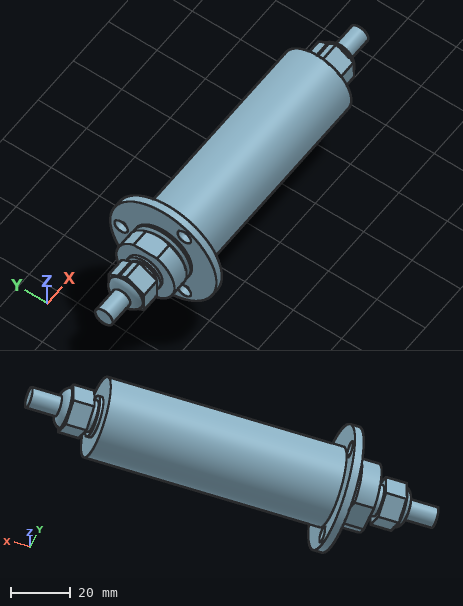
import cadquery as cq
import math

total_length = 145.1
flange_start = 33.7
flange_thickness = 3.2
body_end = 121.1

body_radius = 14.1
flange_radius = 21.98
bolt_circle_radius = 17.4
bolt_hole_diameter = 5.5
bolt_hole_count = 3

cap_start = 23.5
cap_radius = 12.0
cap_land_end = 30.5
cap_across_flats = 22.0
groove_bottom = 31.5
groove_radius = 10.7
shoulder_start = 32.8
shoulder_radius = 11.9

cable_radius = 3.6
collar_length = 1.2
collar_radius = 7.1
neck_length = 2.2
neck_radius = 5.5
nut_length = 7.4
nut_across_flats = 14.7
face_tilt = 30
mark_width = 0.51
mark_depth = 0.1
mark_offset = 0.5
dome_rim_length = 0.5
dome_base_radius = 7.1
dome_length = 2.3


def rod(start, length, radius):
    """Cylinder along X."""
    return cq.Workplane("YZ", origin=(start, 0, 0)).circle(radius).extrude(length)


def make_gland(seat, cable_end):
    """Cable gland pointing along +X from its seat, with its cable."""
    neck_start = seat + collar_length
    nut_start = neck_start + neck_length
    nut_end = nut_start + nut_length
    dome_start = nut_end + dome_rim_length
    dome_end = dome_start + dome_length

    dome_rise = dome_base_radius - cable_radius
    arc_radius = (dome_rise**2 + dome_length**2) / (2 * dome_length)
    half_sweep = math.asin(dome_rise / arc_radius) / 2
    arc_middle = (
        dome_end - arc_radius * (1 - math.cos(half_sweep)),
        cable_radius + arc_radius * math.sin(half_sweep),
    )
    turned = (
        cq.Workplane("XY")
        .moveTo(seat, 0)
        .lineTo(seat, collar_radius)
        .lineTo(neck_start, collar_radius)
        .lineTo(neck_start, neck_radius)
        .lineTo(nut_end, neck_radius)
        .lineTo(nut_end, dome_base_radius)
        .lineTo(dome_start, dome_base_radius)
        .threePointArc(arc_middle, (dome_end, cable_radius))
        .lineTo(cable_end, cable_radius)
        .lineTo(cable_end, 0)
        .close()
        .revolve(360, (0, 0, 0), (1, 0, 0))
    )
    across_corners = nut_across_flats / math.cos(math.pi / 6)
    nut = (
        cq.Workplane("YZ", origin=(nut_start, 0, 0))
        .transformed(rotate=(0, 0, 90))
        .polygon(6, across_corners)
        .extrude(nut_length)
    )
    mark = (
        cq.Workplane("XY")
        .box(nut_length, mark_width, 2 * mark_depth)
        .translate((nut_start + nut_length / 2, -mark_offset, nut_across_flats / 2))
        .rotate((0, 0, 0), (1, 0, 0), -face_tilt)
    )
    return turned.union(nut.cut(mark))


def make_cap():
    """Round cap with a V groove behind it and two flats facing +Z and -Z."""
    cap = (
        cq.Workplane("XY")
        .moveTo(cap_start, 0)
        .lineTo(cap_start, cap_radius)
        .lineTo(cap_land_end, cap_radius)
        .lineTo(groove_bottom, groove_radius)
        .lineTo(groove_bottom, 0)
        .close()
        .revolve(360, (0, 0, 0), (1, 0, 0))
    )
    flats = cq.Workplane("YZ", origin=(cap_start, 0, 0)).rect(2 * cap_radius, cap_across_flats)
    cap = cap.intersect(flats.extrude(groove_bottom - cap_start))
    shoulder = (
        cq.Workplane("XY")
        .moveTo(groove_bottom, 0)
        .lineTo(groove_bottom, groove_radius)
        .lineTo(shoulder_start, shoulder_radius)
        .lineTo(flange_start, shoulder_radius)
        .lineTo(flange_start, 0)
        .close()
        .revolve(360, (0, 0, 0), (1, 0, 0))
    )
    return cap.union(shoulder)


def make_flange():
    """Round flange with its bolt holes, the first one on +Y."""
    holes = (
        cq.Workplane("YZ", origin=(flange_start, 0, 0))
        .polarArray(bolt_circle_radius, 0, 360, bolt_hole_count)
        .circle(bolt_hole_diameter / 2)
        .extrude(flange_thickness)
    )
    return rod(flange_start, flange_thickness, flange_radius).cut(holes)


body = rod(flange_start, body_end - flange_start, body_radius)
right_gland = make_gland(body_end, total_length)
left_gland = make_gland(-cap_start, 0).mirror("YZ")

result = body.union(make_flange()).union(make_cap()).union(left_gland).union(right_gland)